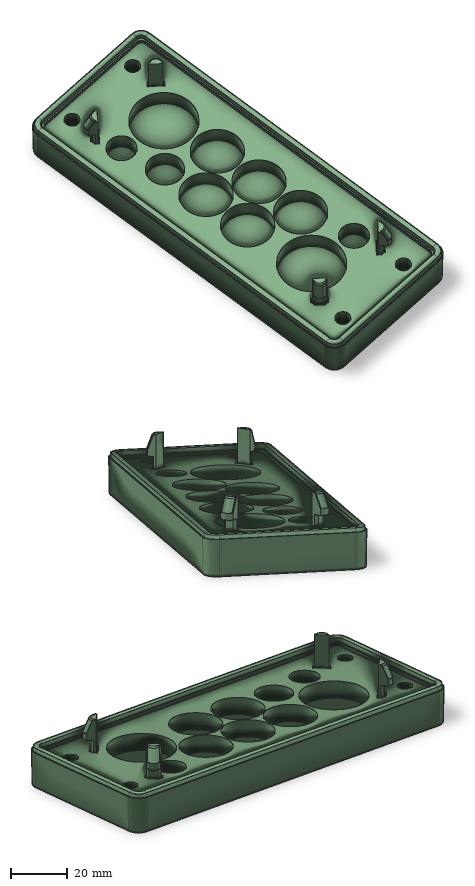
import cadquery as cq
import math

LENGTH = 148.0
WIDTH = 60.0
CORNER_RADIUS = 5.0
WALL_TOP = 13.8
WALL_THICKNESS = 3.7
DRAFT_ANGLE = 1.0
BOTTOM_FILLET = 0.7
FLOOR_TOP = 12.5
FLOOR_CORNER_RADIUS = 2.2

SEAL_INSET = 0.5
SEAL_BASE_WIDTH = 2.7
SEAL_SIDE_TAPER = 0.3
SEAL_EDGE_TOP = 15.2
SEAL_CROWN = 0.3

SCREW_RADIUS = 2.8
SCREW_X = 65.0
SCREW_Y = 16.0

POCKET_DEPTH = 6.7
LARGE_POCKET_RADIUS = 12.5
LARGE_POCKETS = [(-40.5, 5.6), (40.5, -5.6)]
MIDDLE_POCKET_RADIUS = 9.6
MIDDLE_PITCH = 20.0
MIDDLE_ROW_Y = 8.5
UPPER_ROW_START = -17.5
UPPER_ROW_COUNT = 3
LOWER_ROW_START = -7.5
LOWER_ROW_COUNT = 2
MIDDLE_POCKETS = (
    [(UPPER_ROW_START + i * MIDDLE_PITCH, MIDDLE_ROW_Y) for i in range(UPPER_ROW_COUNT)]
    + [(LOWER_ROW_START + i * MIDDLE_PITCH, -MIDDLE_ROW_Y) for i in range(LOWER_ROW_COUNT)]
)
MEDIUM_POCKET_RADIUS = 7.0
MEDIUM_POCKETS = [(-25.9, -9.9)]
SMALL_POCKET_RADIUS = 5.5
SMALL_POCKETS = [(-43.5, -13.5), (43.5, 13.5)]

CLIP_X = 53.3
CLIP_Y = 15.4
CLIP_WIDTH = 5.2
CLIP_TOP = 25.0
HOOK_BOTTOM = 16.9
HOOK_SLOPE_START = 19.4
HOOK_SIDE_DEPTH = 3.4
HOOK_BULGE = 1.5
HOOK_LEAN = 2.0
NOSE_SHOULDER = 0.5
NOSE_CHAMFER = 0.6
STEM_SIDE_DEPTH = 0.9
STEM_CHAMFER = 1.0
STEM_CLEARANCE = 0.6

BAR_WIDTH = 7.4
BAR_LENGTH = 41.5
BAR_THICKNESS = 2.2
BAR_X = 54.0

ENDS = (-1, 1)


def make_floor_recess():
    """Shallow recess inside the wall, down to the floor."""
    return (
        cq.Workplane("XY", origin=(0, 0, FLOOR_TOP))
        .rect(LENGTH - 2 * WALL_THICKNESS, WIDTH - 2 * WALL_THICKNESS)
        .extrude(WALL_TOP - FLOOR_TOP)
        .edges("|Z")
        .fillet(FLOOR_CORNER_RADIUS)
    )


def stem_outline():
    """Half-octagon of the stem: back on local x = 0, nose toward local +x."""
    half_width = CLIP_WIDTH / 2
    depth = STEM_SIDE_DEPTH + STEM_CHAMFER
    half_nose = half_width - STEM_CHAMFER
    return cq.Workplane("XY").polyline([
        (0, -half_width),
        (STEM_SIDE_DEPTH, -half_width),
        (depth, -half_nose),
        (depth, half_nose),
        (STEM_SIDE_DEPTH, half_width),
        (0, half_width),
    ]).close()


def hook_outline(side_depth, shoulder, z):
    """Flat-backed outline at height z, with a bulged front between two flat shoulders."""
    half_width = CLIP_WIDTH / 2
    half_bulge = half_width - shoulder
    outline = cq.Workplane("XY", origin=(0, 0, z)).moveTo(0, -half_width).lineTo(side_depth, -half_width)
    if shoulder:
        outline = outline.lineTo(side_depth, -half_bulge)
    outline = outline.threePointArc((side_depth + HOOK_BULGE, 0), (side_depth, half_bulge))
    if shoulder:
        outline = outline.lineTo(side_depth, half_width)
    return outline.lineTo(0, half_width).close()


def make_hook():
    """Upright catch with a nose above it that leans back and ends in a chamfer."""
    catch = hook_outline(HOOK_SIDE_DEPTH, 0, HOOK_BOTTOM).extrude(HOOK_SLOPE_START - HOOK_BOTTOM)
    leaned_depth = HOOK_SIDE_DEPTH - HOOK_LEAN
    nose_levels = [
        (HOOK_SIDE_DEPTH, HOOK_SLOPE_START),
        (leaned_depth, CLIP_TOP - NOSE_CHAMFER),
        (leaned_depth - NOSE_CHAMFER, CLIP_TOP),
    ]
    nose_sections = [hook_outline(depth, NOSE_SHOULDER, z).val() for depth, z in nose_levels]
    nose = cq.Solid.makeLoft(nose_sections, True)
    return catch.union(cq.Workplane(nose))


def make_clip():
    stem = stem_outline().extrude(HOOK_BOTTOM)
    return stem.union(make_hook())


def make_stem_slot():
    return stem_outline().offset2D(STEM_CLEARANCE, "intersection").extrude(FLOOR_TOP)


def place_at_clip(shape, x_side, y_side):
    """Turn a shape so its nose faces one corner, and move it to that clip."""
    angle = math.degrees(math.atan2(y_side, x_side))
    return shape.rotate((0, 0, 0), (0, 0, 1), angle).translate((x_side * CLIP_X, y_side * CLIP_Y, 0))


def make_bar(x_side):
    return cq.Workplane("XY").center(x_side * BAR_X, 0).rect(BAR_WIDTH, BAR_LENGTH).extrude(BAR_THICKNESS)


def make_clip_bar(x_side):
    clip_bar = make_bar(x_side)
    for y_side in ENDS:
        clip_bar = clip_bar.union(place_at_clip(make_clip(), x_side, y_side))
    return clip_bar


def make_pockets(centres, radius):
    return (
        cq.Workplane("XY", origin=(0, 0, FLOOR_TOP))
        .pushPoints(centres)
        .circle(radius)
        .extrude(-POCKET_DEPTH)
    )


def make_housing():
    housing = (
        cq.Workplane("XY", origin=(0, 0, WALL_TOP))
        .sketch()
        .rect(LENGTH, WIDTH)
        .vertices()
        .fillet(CORNER_RADIUS)
        .finalize()
        .extrude(-WALL_TOP, taper=DRAFT_ANGLE)
        .faces("<Z")
        .edges()
        .fillet(BOTTOM_FILLET)
    )
    housing = housing.cut(make_floor_recess())
    housing = housing.cut(make_pockets(LARGE_POCKETS, LARGE_POCKET_RADIUS))
    housing = housing.cut(make_pockets(MIDDLE_POCKETS, MIDDLE_POCKET_RADIUS))
    housing = housing.cut(make_pockets(MEDIUM_POCKETS, MEDIUM_POCKET_RADIUS))
    housing = housing.cut(make_pockets(SMALL_POCKETS, SMALL_POCKET_RADIUS))
    screw_holes = (
        cq.Workplane("XY")
        .rect(2 * SCREW_X, 2 * SCREW_Y, forConstruction=True)
        .vertices()
        .circle(SCREW_RADIUS)
        .extrude(FLOOR_TOP)
    )
    housing = housing.cut(screw_holes)
    for x_side in ENDS:
        housing = housing.cut(make_bar(x_side))
        for y_side in ENDS:
            housing = housing.cut(place_at_clip(make_stem_slot(), x_side, y_side))
    return housing


def make_seal():
    """Crowned bead section swept round the housing outline."""
    path_inset = SEAL_INSET + SEAL_BASE_WIDTH / 2
    rectangle = (
        cq.Workplane("XY", origin=(0, 0, WALL_TOP))
        .rect(LENGTH - 2 * path_inset, WIDTH - 2 * path_inset)
        .val()
    )
    path = rectangle.fillet2D(CORNER_RADIUS - path_inset, rectangle.Vertices())
    path_y = WIDTH / 2 - path_inset
    half_base = SEAL_BASE_WIDTH / 2
    half_top = half_base - SEAL_SIDE_TAPER
    section = (
        cq.Workplane("YZ")
        .moveTo(path_y + half_base, WALL_TOP)
        .lineTo(path_y + half_top, SEAL_EDGE_TOP)
        .threePointArc((path_y, SEAL_EDGE_TOP + SEAL_CROWN), (path_y - half_top, SEAL_EDGE_TOP))
        .lineTo(path_y - half_base, WALL_TOP)
        .close()
    )
    return section.sweep(cq.Workplane(path))


housing = make_housing()
seal = make_seal()
clip_bars = [make_clip_bar(x_side) for x_side in ENDS]

result = cq.Compound.makeCompound([
    housing.solids().val(),
    seal.val(),
    *[clip_bar.solids().val() for clip_bar in clip_bars],
])